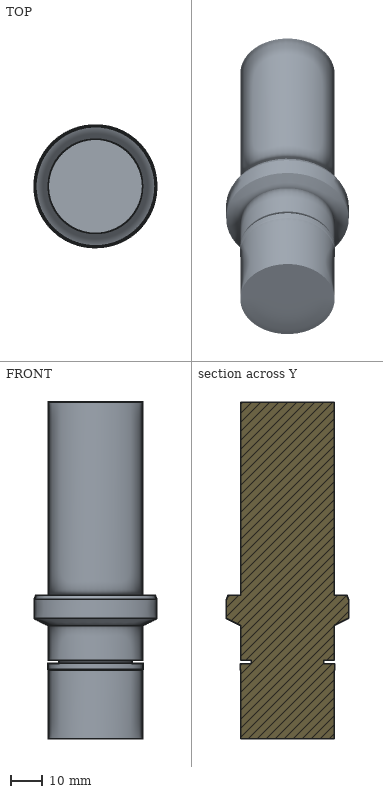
import cadquery as cq

total_height = 107.1
shaft_diameter = 30.0

ring_diameter = 30.3
ring_bevel_bottom = 21.7
ring_bottom = 22.1

groove_diameter = 23.3
groove_bottom = 24.0
groove_top = 25.0

collar_diameter = 39.0
collar_cone_bottom = 36.0
collar_cone_top = 38.2
collar_top = 45.6
collar_bevel_height = 1.3
collar_bevel_width = 0.5

shaft_radius = shaft_diameter / 2
ring_radius = ring_diameter / 2
groove_radius = groove_diameter / 2
collar_radius = collar_diameter / 2

half_profile = [
    (0, 0),
    (shaft_radius, 0),
    (shaft_radius, ring_bevel_bottom),
    (ring_radius, ring_bottom),
    (ring_radius, groove_bottom),
    (groove_radius, groove_bottom),
    (groove_radius, groove_top),
    (shaft_radius, groove_top),
    (shaft_radius, collar_cone_bottom),
    (collar_radius, collar_cone_top),
    (collar_radius, collar_top - collar_bevel_height),
    (collar_radius - collar_bevel_width, collar_top),
    (shaft_radius, collar_top),
    (shaft_radius, total_height),
    (0, total_height),
]

result = cq.Workplane("XZ").polyline(half_profile).close().revolve(360, (0, 0, 0), (0, 1, 0))